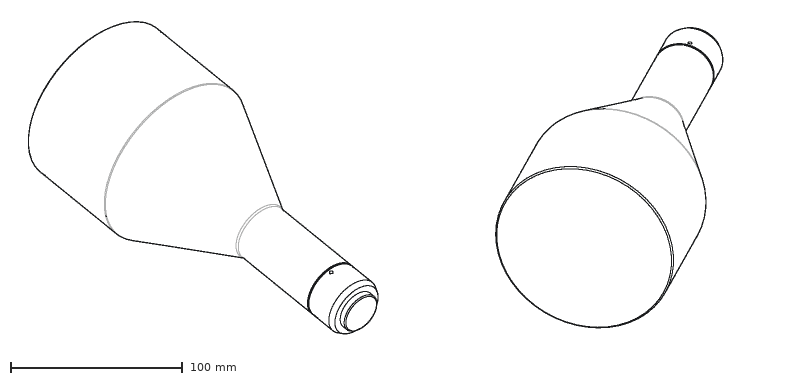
import cadquery as cq
import math

length = 236.8
head_end = 69.6
cone_end = 146.8
lock_groove_start = 209.8
taper_start = 229.0
spigot_start = 232.5

head_radius = 54.0
barrel_radius = 18.2
collar_radius = 16.5
spigot_radius = 12.5

front_chamfer = 1.0
head_edge_fillet = 2.0
neck_fillet = 3.8
spigot_chamfer = 0.7
lock_groove_width = 0.7
lock_groove_depth = 0.5

screw_count = 3
screw_position = 213.1
screw_diameter = 2.1
screw_depth = 2.4
first_screw_angle = 9


def make_body():
    """Revolve the stepped outline, then round both ends of the cone."""
    outline = [
        (0, 0),
        (0, head_radius - front_chamfer),
        (front_chamfer, head_radius),
        (head_end, head_radius),
        (cone_end, barrel_radius),
        (taper_start, barrel_radius),
        (spigot_start, collar_radius),
        (spigot_start, spigot_radius),
        (length - spigot_chamfer, spigot_radius),
        (length, spigot_radius - spigot_chamfer),
        (length, 0),
    ]
    body = cq.Workplane("XY").polyline(outline).close().revolve(360, (0, 0, 0), (1, 0, 0))
    body = round_edge(body, head_end, head_radius, head_edge_fillet)
    return round_edge(body, cone_end, barrel_radius, neck_fillet)


def round_edge(body, station, radius, fillet_radius):
    """Fillet the circular edge at one station along the axis."""
    edge = cq.selectors.BoxSelector(
        (station - fillet_radius, -2 * radius, -2 * radius),
        (station + fillet_radius, 2 * radius, 2 * radius),
        boundingbox=True,
    )
    return body.edges(edge).fillet(fillet_radius)


def make_lock_groove():
    """Ring that cuts the narrow groove around the barrel."""
    return (
        cq.Workplane("YZ", origin=(lock_groove_start, 0, 0))
        .circle(barrel_radius + lock_groove_depth)
        .circle(barrel_radius - lock_groove_depth)
        .extrude(lock_groove_width)
    )


def make_screw_hole(angle):
    """Blind radial hole, turned about X from +Z toward -Y."""
    turn = math.radians(angle)
    outward = cq.Vector(0, -math.sin(turn), math.cos(turn))
    floor = cq.Vector(screw_position, 0, 0) + outward * (barrel_radius - screw_depth)
    return cq.Solid.makeCylinder(screw_diameter / 2, 2 * screw_depth, floor, outward)


result = make_body().cut(make_lock_groove())
for index in range(screw_count):
    result = result.cut(make_screw_hole(first_screw_angle + index * 360 / screw_count))